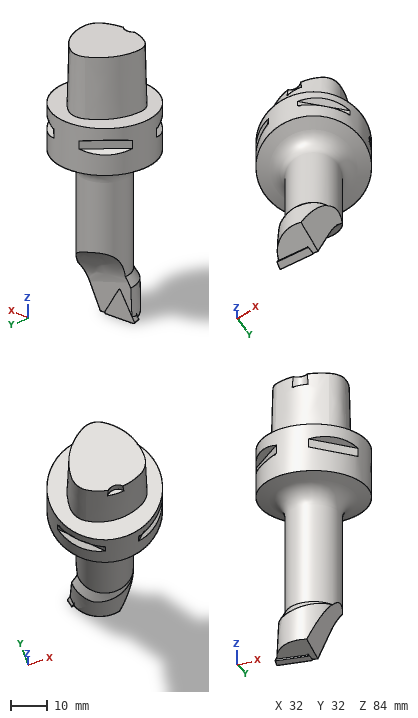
import cadquery as cq
import math

coupling_height = 19.0
lobe_center_distance = 5.8
lobe_radius = 6.05
coupling_taper = math.degrees(math.atan(1 / 40))
key_radius = 3.0
key_depth = 3.3
key_inner_y = -8.8
key_tilt = 4.5

flange_radius = 32.0 / 2
flange_height = 14.5
gripper_flat_distance = 14.2
gripper_center_z = -5.9
gripper_floor_height = 2.5
gripper_wall_angle = 30.0
gripper_count = 4
shank_radius = 16 / 2
neck_top_z = -15.5
neck_bottom_z = -21.0
neck_cone_angle = 75.0

shank_end_z = -51.2
head_cone_end_z = -54.3
head_top_radius = 9.75
head_bottom_radius = 10.25
tool_bottom_z = coupling_height - 84
relief_radius = 9.15
relief_center = (-1.2, 0.1)
end_face_z = -64.6
end_face_slope = 0.147
side_cut_z = -49.4
side_cut_bottom_x = 0.75

flute_floor_y = 0.75
flute_radius = 13.4
flute_tangent_z = -55.4
flute_y_slope = 0.1
flute_z_slope = -0.28
flute_half_length = 16.8

insert_side = 11.0
insert_thickness = 2.35
insert_nose_radius = 0.4
insert_clearance_angle = 7.0
insert_tip_x = -11.0

clearance = 4.2


def polar(radius, angle):
    return (radius * math.cos(math.radians(angle)), radius * math.sin(math.radians(angle)))


def make_coupling():
    """Three lobes joined by wide arcs, each centred on the opposite lobe centre."""
    wide_radius = lobe_radius + math.sqrt(3) * lobe_center_distance
    wide_middle = wide_radius - lobe_center_distance

    def lobe_point(lobe, offset):
        center = polar(lobe_center_distance, lobe)
        rim = polar(lobe_radius, lobe + offset)
        return (center[0] + rim[0], center[1] + rim[1])

    outline = cq.Workplane("XY").moveTo(*lobe_point(90, -30))
    for lobe in (90, 210, 330):
        lobe_middle = polar(lobe_center_distance + lobe_radius, lobe)
        outline = outline.threePointArc(lobe_middle, lobe_point(lobe, 30))
        outline = outline.threePointArc(polar(wide_middle, lobe + 60), lobe_point(lobe + 120, -30))
    coupling = outline.close().extrude(coupling_height, taper=coupling_taper)

    key_y = key_inner_y - key_radius
    key = cq.Workplane("XY").circle(key_radius).extrude(key_depth + clearance, both=True)
    key = key.rotate((0, 0, key_depth), (1, 0, key_depth), key_tilt)
    key_space = cq.Workplane("XY").box(
        4 * key_radius, 4 * key_radius, key_depth, centered=(True, True, False)
    )
    key = key.intersect(key_space).translate((0, key_y, coupling_height - key_depth))
    return coupling.cut(key)


def make_turned_body():
    """Flange, filleted neck, shank and conical head turned about Z."""
    fillet_height = neck_top_z - neck_bottom_z
    fillet_radius = fillet_height / math.sin(math.radians(neck_cone_angle))
    fillet_center_r = shank_radius + fillet_radius

    def fillet_point(angle):
        offset = polar(fillet_radius, angle)
        return (fillet_center_r - offset[0], neck_bottom_z + offset[1])

    return (
        cq.Workplane("XZ")
        .lineTo(flange_radius, 0)
        .lineTo(flange_radius, -flange_height)
        .lineTo(*fillet_point(neck_cone_angle))
        .threePointArc(fillet_point(neck_cone_angle / 2), (shank_radius, neck_bottom_z))
        .lineTo(shank_radius, shank_end_z)
        .lineTo(head_top_radius, head_cone_end_z)
        .lineTo(head_bottom_radius, tool_bottom_z)
        .lineTo(0, tool_bottom_z)
        .close()
        .revolve(360, (0, 0, 0), (0, 1, 0))
    )


def make_gripper_slot(angle):
    """Straight slot across the flange with a flat floor and flared walls."""
    depth = flange_radius - gripper_flat_distance + clearance
    floor_half = gripper_floor_height / 2
    mouth_half = floor_half + depth * math.tan(math.radians(gripper_wall_angle))
    outer = gripper_flat_distance + depth
    return (
        cq.Workplane("XZ")
        .polyline([
            (gripper_flat_distance, gripper_center_z - floor_half),
            (outer, gripper_center_z - mouth_half),
            (outer, gripper_center_z + mouth_half),
            (gripper_flat_distance, gripper_center_z + floor_half),
        ])
        .close()
        .extrude(flange_radius, both=True)
        .rotate((0, 0, 0), (0, 0, 1), angle)
    )


def make_head_relief():
    """Ring outside the eccentric cylinder that relieves the back of the head."""
    height = shank_end_z - tool_bottom_z
    return (
        cq.Workplane("XY", origin=(*relief_center, tool_bottom_z))
        .circle(2 * relief_radius)
        .circle(relief_radius)
        .extrude(height)
    )


def make_end_cut():
    """Block below the sloping end face."""
    reach = 2 * head_bottom_radius
    rise = end_face_slope * reach
    return (
        cq.Workplane("YZ")
        .polyline([
            (-reach, end_face_z + rise),
            (reach, end_face_z - rise),
            (reach, end_face_z - reach),
            (-reach, end_face_z - reach),
        ])
        .close()
        .extrude(reach, both=True)
    )


def make_side_cut():
    """Wedge that slants the +X side of the head."""
    outer = shank_radius + clearance
    return (
        cq.Workplane("XZ")
        .polyline([
            (shank_radius, side_cut_z),
            (side_cut_bottom_x, tool_bottom_z),
            (outer, tool_bottom_z),
            (outer, side_cut_z),
        ])
        .close()
        .extrude(flange_radius, both=True)
    )


def make_flute():
    """Arc running into a flat floor, swept obliquely across the +Y side."""
    center_y = flute_floor_y + flute_radius
    arc_middle = polar(flute_radius, 135)
    start_x = -flute_half_length
    start_y = start_x * flute_y_slope
    start_z = start_x * flute_z_slope
    bottom = tool_bottom_z - flute_half_length
    profile = (
        cq.Workplane("YZ", origin=(start_x, start_y, start_z))
        .moveTo(flute_floor_y, bottom)
        .lineTo(flute_floor_y, flute_tangent_z)
        .threePointArc(
            (center_y + arc_middle[0], flute_tangent_z + arc_middle[1]),
            (center_y, flute_tangent_z + flute_radius),
        )
        .lineTo(center_y, bottom)
        .close()
    )
    direction = cq.Vector(1, flute_y_slope, flute_z_slope) * (2 * flute_half_length)
    face = cq.Face.makeFromWires(profile.val())
    return cq.Workplane(cq.Solid.extrudeLinear(face, direction))


def make_insert():
    """Rounded triangle flush with the flute floor, its lower side level."""
    corner_x = insert_tip_x - insert_nose_radius * (math.sqrt(3) - 1)
    corner_y = flute_floor_y + flute_y_slope * corner_x
    rake_plane = cq.Plane(
        origin=(corner_x, corner_y, tool_bottom_z),
        xDir=(1, flute_y_slope, 0),
        normal=(flute_y_slope, -1, 0),
    )
    inset = math.sqrt(3) * insert_nose_radius
    center_side = insert_side - 2 * inset
    return (
        cq.Workplane(rake_plane)
        .polyline([
            (inset, insert_nose_radius),
            (inset + center_side, insert_nose_radius),
            (insert_side / 2, insert_nose_radius + center_side * math.sqrt(3) / 2),
        ])
        .close()
        .offset2D(insert_nose_radius)
        .extrude(insert_thickness, taper=insert_clearance_angle)
    )


def make_holder(insert):
    holder = make_turned_body().union(make_coupling())
    for index in range(gripper_count):
        holder = holder.cut(make_gripper_slot((index + 0.5) * 360 / gripper_count))
    holder = holder.cut(make_head_relief())
    holder = holder.cut(make_end_cut())
    holder = holder.cut(make_side_cut())
    holder = holder.cut(make_flute())
    return holder.cut(insert).solids()


insert = make_insert()
holder = make_holder(insert)
result = cq.Compound.makeCompound([holder.val(), insert.val()])